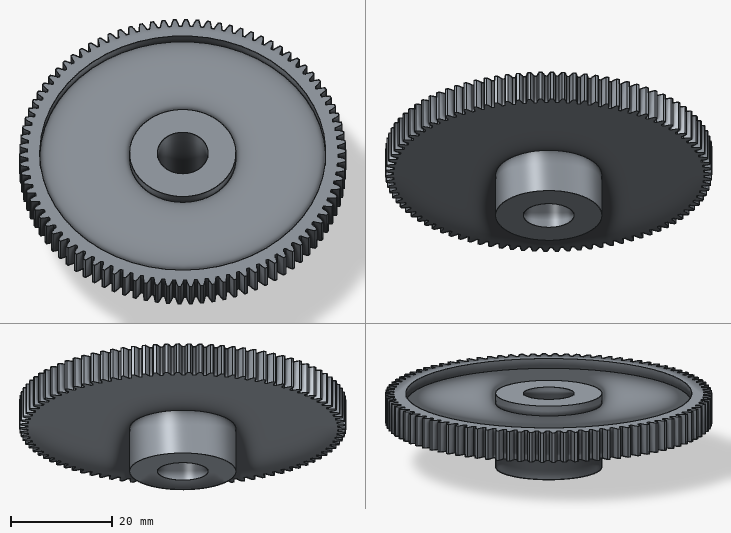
import cadquery as cq
import math

MODULE = 0.7
TOOTH_COUNT = 90
PRESSURE_ANGLE = math.radians(20)
ADDENDUM = MODULE
DEDENDUM = 1.25 * MODULE
ROOT_FILLET = 0.15
FLANK_POINTS = 4

FACE_WIDTH = 6.0
RECESS_DIAMETER = 56.5
RECESS_DEPTH = 2.0

HUB_DIAMETER = 21.0
HUB_LENGTH = 15.0
BORE_DIAMETER = 10.0

pitch_radius = MODULE * TOOTH_COUNT / 2
tip_radius = pitch_radius + ADDENDUM
root_radius = pitch_radius - DEDENDUM
base_radius = pitch_radius * math.cos(PRESSURE_ANGLE)
fillet_centre_radius = root_radius + ROOT_FILLET
flank_start_radius = math.hypot(
    base_radius,
    math.sqrt(fillet_centre_radius**2 - base_radius**2) + ROOT_FILLET,
)
tooth_pitch_angle = 2 * math.pi / TOOTH_COUNT
gear_bottom = HUB_LENGTH - FACE_WIDTH


def polar(radius, angle):
    return (radius * math.cos(angle), radius * math.sin(angle))


def involute_angle(radius):
    """Polar angle swept by the base-circle involute on reaching a radius."""
    local_pressure_angle = math.acos(base_radius / radius)
    return math.tan(local_pressure_angle) - local_pressure_angle


def half_tooth_angle(radius):
    """Half the angle that one tooth spans at a radius."""
    return tooth_pitch_angle / 4 + involute_angle(pitch_radius) - involute_angle(radius)


def flank(centre_angle, side):
    """Fillet-to-tip points on one tooth flank; side is -1 or +1."""
    step = (tip_radius - flank_start_radius) / (FLANK_POINTS - 1)
    radii = [flank_start_radius + i * step for i in range(FLANK_POINTS)]
    return [polar(r, centre_angle + side * half_tooth_angle(r)) for r in radii]


def root_fillet(centre_angle, side):
    """Middle of one root fillet arc and its end on the root circle."""
    fillet_angle = half_tooth_angle(fillet_centre_radius) + ROOT_FILLET / base_radius
    fillet_angle = centre_angle + side * fillet_angle
    centre_x, centre_y = polar(fillet_centre_radius, fillet_angle)
    corner_x, corner_y = polar(root_radius, centre_angle + side * half_tooth_angle(root_radius))
    reach = ROOT_FILLET / math.hypot(corner_x - centre_x, corner_y - centre_y)
    middle = (centre_x + reach * (corner_x - centre_x), centre_y + reach * (corner_y - centre_y))
    return middle, polar(root_radius, fillet_angle)


def toothed_blank():
    """Gear disc whose first tooth is centred on the +X axis."""
    outline = cq.Workplane("XY").workplane(offset=gear_bottom)
    outline = outline.moveTo(*root_fillet(0, -1)[1])
    for tooth in range(TOOTH_COUNT):
        centre = tooth * tooth_pitch_angle
        next_centre = centre + tooth_pitch_angle
        rising = flank(centre, -1)
        falling = flank(centre, 1)[::-1]
        rising_fillet_middle, _ = root_fillet(centre, -1)
        falling_fillet_middle, gap_start = root_fillet(centre, 1)
        _, gap_end = root_fillet(next_centre, -1)
        gap_middle = polar(root_radius, (centre + next_centre) / 2)
        outline = outline.threePointArc(rising_fillet_middle, rising[0])
        outline = outline.spline(rising[1:], includeCurrent=True)
        outline = outline.threePointArc(polar(tip_radius, centre), falling[0])
        outline = outline.spline(falling[1:], includeCurrent=True)
        outline = outline.threePointArc(falling_fillet_middle, gap_start)
        outline = outline.threePointArc(gap_middle, gap_end)
    return outline.close().extrude(FACE_WIDTH)


def cylinder(diameter, bottom, height):
    return cq.Workplane("XY").workplane(offset=bottom).circle(diameter / 2).extrude(height)


recess = cylinder(RECESS_DIAMETER, HUB_LENGTH - RECESS_DEPTH, RECESS_DEPTH)
hub = cylinder(HUB_DIAMETER, 0, HUB_LENGTH)
bore = cylinder(BORE_DIAMETER, 0, HUB_LENGTH)

result = toothed_blank().cut(recess).union(hub).cut(bore)